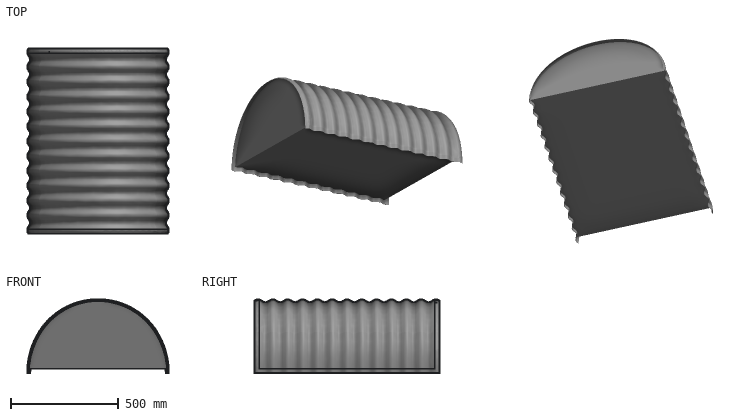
import cadquery as cq
import math

arch_width = 662.1
arch_length = 864.62
arch_height = 345.3

core_length = 820.0
core_bottom = 20.0
frame_thickness = 2.0

wave_depth = 14.0
wave_count = 12.5
wave_pitch = arch_length / wave_count
steps_per_wave = 8
step_count = round(wave_count * steps_per_wave)

crown_radius = arch_height - core_bottom
side_bulge = arch_width / 2 - crown_radius
joint_angle = 2 * math.atan(side_bulge / core_bottom)
centre_distance = core_bottom / math.sin(joint_angle)
side_radius = crown_radius + centre_distance
side_centre_x = centre_distance * math.cos(joint_angle)

block_margin = 50.0


def wave_points(crest_radius):
    """Points along the corrugation as (radius, position along the arch)."""
    points = []
    for step in range(step_count + 1):
        along = step * arch_length / step_count
        swing = math.sin(2 * math.pi * along / wave_pitch) - 1
        points.append((crest_radius + swing * wave_depth / 2, along - arch_length / 2))
    return points


def solid_section(crest_radius):
    """Section from the arc centre line out to the corrugated surface."""
    points = wave_points(crest_radius)
    section = cq.Workplane("XY").moveTo(0, -arch_length / 2).lineTo(*points[0])
    return section.spline(points[1:], includeCurrent=True).lineTo(0, arch_length / 2).close()


def sheet_section(crest_radius):
    """Section of the thin corrugated sheet just below the corrugated surface."""
    outer = wave_points(crest_radius)
    inner = wave_points(crest_radius - frame_thickness)[::-1]
    section = cq.Workplane("XY").moveTo(*outer[0]).spline(outer[1:], includeCurrent=True)
    return section.lineTo(*inner[0]).spline(inner[1:], includeCurrent=True).close()


def arch(section):
    """Turn a section through the right side, crown and left side arcs of the arch."""
    side_sweep = math.degrees(joint_angle)
    crown_sweep = 180 - 2 * side_sweep
    axis_start = (0, 0)
    axis_end = (0, -1)
    side = section(side_radius).revolve(side_sweep, axis_start, axis_end)
    right_side = side.translate((-side_centre_x, 0, 0))
    left_side = right_side.mirror("YZ")
    crown = section(crown_radius).revolve(crown_sweep, axis_start, axis_end)
    crown = crown.rotate((0, 0, 0), (0, -1, 0), side_sweep).translate((0, 0, core_bottom))
    return crown.union(right_side).union(left_side)


def core_block():
    """Block that bounds the core at its ends and bottom and reaches past the arch elsewhere."""
    size_x = arch_width + 2 * block_margin
    size_z = arch_height + block_margin
    block = cq.Workplane("XY").box(size_x, core_length, size_z, centered=(True, True, False))
    return block.translate((0, 0, core_bottom))


core = arch(solid_section).intersect(core_block())

frame = arch(sheet_section).cut(core_block())

result = cq.Compound.makeCompound([core.val(), frame.val()])